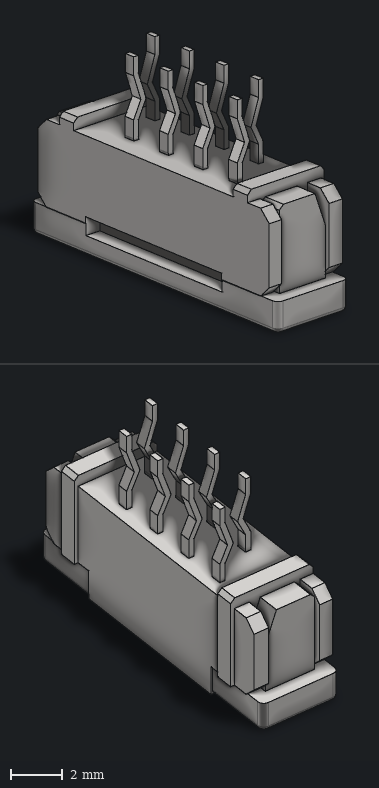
import cadquery as cq
import math

FLANGE_LENGTH = 14.2
FLANGE_WIDTH = 3.72
FLANGE_HEIGHT = 1.33
FLANGE_CORNER_RADIUS = 0.3
FLANGE_BOTTOM_RADIUS = 0.2

FRONT_Y = -1.89
BACK_Y = 1.93
HOUSING_TOP = 5.0
CORE_LENGTH = 10.82
PLATE_LENGTH = 13.32
PLATE_CHAMFER = 0.5
FRONT_PLATE_THICKNESS = 0.64
BACK_PLATE_THICKNESS = 0.71
BACK_PLATE_INNER_Y = BACK_Y - BACK_PLATE_THICKNESS

BLOCK_LENGTH = 12.9
BLOCK_FRONT_Y = -1.16
BLOCK_CHAMFER = 0.2
BLOCK_SLOPE_TOP_Y = 0.68
BLOCK_SLOPE_BOTTOM = 3.55

STRAP_TOP = 5.51
STRAP_DEPTH = 4.0
STRAP_BACK_Y = FRONT_Y + STRAP_DEPTH
STRAP_WIDTH = 0.82
STRAP_CHAMFER = 0.2
STRAP_X = (CORE_LENGTH - STRAP_WIDTH) / 2

SLOT_LENGTH = 7.84
SLOT_BOTTOM = 0.82
SLOT_TOP = 1.62
SLOT_DEPTH = 0.75

PIN_COUNT = 8
PIN_PITCH = 1.0
PIN_WIDTH = 0.5
PIN_THICKNESS = 0.25
PIN_TOP = 8.5
PIN_UPPER_BEND = 7.74
PIN_KINK = 6.63
PIN_LOWER_BEND = 5.85
PIN_BASE_BEND = 5.1
PIN_FOOT = 4.81
PIN_KINK_OFFSET = 0.38
FRONT_FOOT_OFFSET = 0.03
FRONT_ROW_Y = -0.77
BACK_ROW_Y = 1.24


def box(length, y_min, y_max, z_min, z_max, x_center=0):
    """Box centred on x_center that spans the given Y and Z ranges."""
    corner = (x_center - length / 2, y_min, z_min)
    return cq.Workplane("XY").box(length, y_max - y_min, z_max - z_min, centered=False).translate(corner)


def make_flange():
    flange = box(FLANGE_LENGTH, -FLANGE_WIDTH / 2, FLANGE_WIDTH / 2, 0, FLANGE_HEIGHT)
    flange = flange.edges("|Z").fillet(FLANGE_CORNER_RADIUS)
    return flange.faces("<Z").edges().fillet(FLANGE_BOTTOM_RADIUS)


def make_side_plate(y_min, y_max):
    plate = box(PLATE_LENGTH, y_min, y_max, FLANGE_HEIGHT, HOUSING_TOP)
    return plate.edges("|Y").chamfer(PLATE_CHAMFER)


def make_end_blocks():
    """One bar along X whose ends stand out past the core."""
    profile = [
        (BLOCK_FRONT_Y, FLANGE_HEIGHT),
        (BLOCK_FRONT_Y, HOUSING_TOP - BLOCK_CHAMFER),
        (BLOCK_FRONT_Y + BLOCK_CHAMFER, HOUSING_TOP),
        (BLOCK_SLOPE_TOP_Y, HOUSING_TOP),
        (BACK_PLATE_INNER_Y, BLOCK_SLOPE_BOTTOM),
        (BACK_PLATE_INNER_Y, FLANGE_HEIGHT),
    ]
    return cq.Workplane("YZ").polyline(profile).close().extrude(BLOCK_LENGTH / 2, both=True)


def make_strap(x_center):
    strap = box(STRAP_WIDTH, FRONT_Y, STRAP_BACK_Y, FLANGE_HEIGHT, STRAP_TOP, x_center)
    return strap.faces(">Z").edges("|X").chamfer(STRAP_CHAMFER)


def make_pin(x_center, row_y, kink_y, foot_y):
    """Strip of even thickness along a kinked centre line, with mitred bends."""
    center_line = [
        (foot_y, PIN_FOOT),
        (row_y, PIN_BASE_BEND),
        (row_y, PIN_LOWER_BEND),
        (kink_y, PIN_KINK),
        (row_y, PIN_UPPER_BEND),
        (row_y, PIN_TOP),
    ]
    leans = [math.atan2(y1 - y0, z1 - z0) for (y0, z0), (y1, z1) in zip(center_line, center_line[1:])]
    leans = [leans[0]] + leans + [leans[-1]]
    sides = {-1: [], 1: []}
    for (y, z), below, above in zip(center_line, leans, leans[1:]):
        miter_lean = (below + above) / 2
        reach = PIN_THICKNESS / 2 / math.cos((above - below) / 2)
        for side, points in sides.items():
            points.append((y + side * reach * math.cos(miter_lean), z - side * reach * math.sin(miter_lean)))
    outline = sides[-1] + sides[1][::-1]
    pin = cq.Workplane("YZ").polyline(outline).close().extrude(PIN_WIDTH / 2, both=True)
    return pin.translate((x_center, 0, 0))


result = make_flange()
result = result.union(box(CORE_LENGTH, FRONT_Y, BACK_Y, FLANGE_HEIGHT, HOUSING_TOP))
result = result.union(make_side_plate(FRONT_Y, FRONT_Y + FRONT_PLATE_THICKNESS))
result = result.union(make_side_plate(BACK_PLATE_INNER_Y, BACK_Y))
result = result.union(make_end_blocks())
for strap_x in (-STRAP_X, STRAP_X):
    result = result.union(make_strap(strap_x))

result = result.union(box(SLOT_LENGTH, 0, BACK_Y, 0, FLANGE_HEIGHT))
result = result.cut(box(SLOT_LENGTH, FRONT_Y, FRONT_Y + SLOT_DEPTH, SLOT_BOTTOM, SLOT_TOP))

for index in range(PIN_COUNT):
    pin_x = (index - (PIN_COUNT - 1) / 2) * PIN_PITCH
    if index % 2 == 0:
        pin = make_pin(pin_x, BACK_ROW_Y, BACK_ROW_Y - PIN_KINK_OFFSET, BACK_ROW_Y)
    else:
        pin = make_pin(pin_x, FRONT_ROW_Y, FRONT_ROW_Y + PIN_KINK_OFFSET, FRONT_ROW_Y + FRONT_FOOT_OFFSET)
    result = result.union(pin)